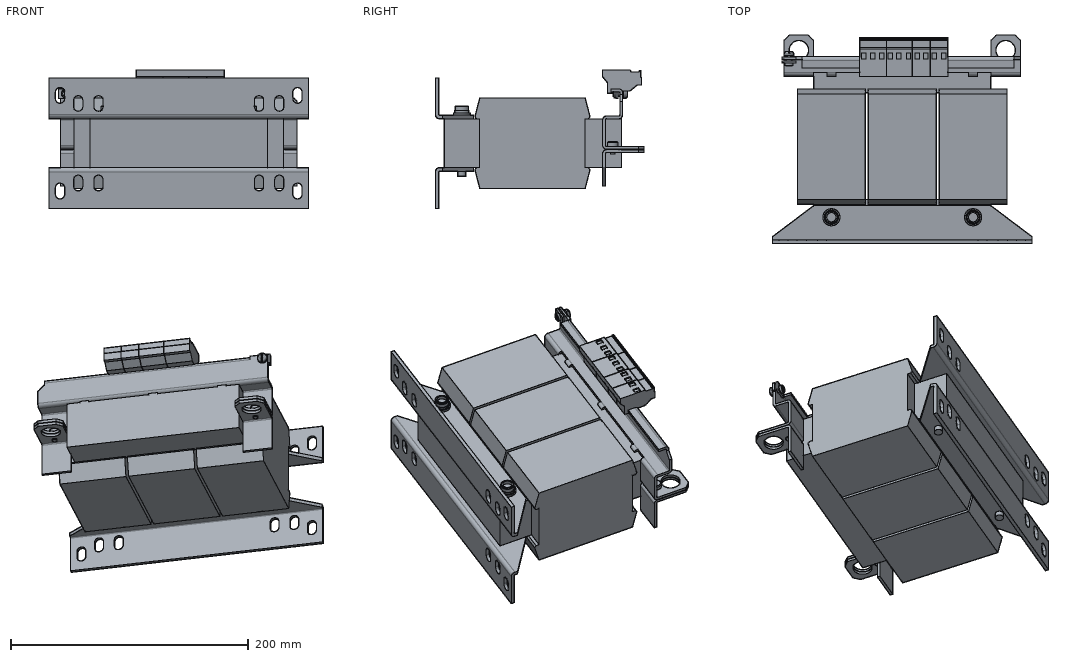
import cadquery as cq


core_length = 149.4
leg_width = core_length / 5
core_half_height = 20.5
core_front = 7.5
window_front = 37.5
window_back = 127.2
core_back = 157.0
leg_pitch = 2 * leg_width

coil_width = 57.4
coil_half_height = 38.3
coil_back = 126.4
coil_bulge = 4.2
bulge_half_height = 22.3
bulge_lip = 2.8

foot_length = 219.0
foot_half_height = 55.2
foot_sheet = 3.0
foot_bend = 3.5
foot_depth = 32.2
foot_side_depth = 6.0
slot_width = 7.7
slot_length = 13.1
outer_slot = (100.0, 40.3)
inner_slots = ((84.8, 33.5), (67.7, 33.5))

screw_y = 22.3
washer_diameter = 14.5
washer_height = 2.0
screw_collar_diameter = 12.0
screw_collar_height = 1.8
screw_head_diameter = 11.4
screw_head_height = 6.0
screw_head_chamfer = 0.7
socket_diameter = 7.9
socket_depth = 3.0
screw_shank_diameter = 7.0
screw_end_z = -28.0

rail_sheet = 2.5
rail_bend = 3.3
rail_half_length = 99.9
rail_front = 141.0
rail_back = 158.0
rail_top = 45.8
lip_left = -84.3
lip_right = 94.2
lip_front = 148.3
lip_zone = 4.4
corner_cut_z = 35.3
hook_width = 7.7
tab_joint_z = -5.3
tab_gap = 0.5
tab_back = 176.0
tab_chamfer = 4.8
eye_x = 87.2
eye_y = 163.2
eye_diameter = 16.2
lower_plate_end_z = -36.1

tab_screw_y = 149.5
tab_screw_head_diameter = 8.8
tab_screw_head_height = 4.0
tab_screw_head_chamfer = 0.9
tab_screw_diameter = 4.2
tab_screw_end_z = -9.0

earth_x = -95.5
earth_z = 41.8
clamp_length = 12.0
clamp_height = 8.3
clamp_back = (rail_back - rail_sheet, 157.5)
clamp_front = (152.5, 154.2)
earth_washer_diameter = 8.3
earth_washer_back = 158.8
earth_head_diameter = 8.0
earth_head_back = 162.0
earth_head_round = 2.0
earth_slot_width = 0.9
earth_slot_depth = 1.3
earth_nut_end = 150.5
earth_nut_diameter = 7.0
earth_shank_diameter = 4.8
earth_shank_end = 149.8

terminal_bounds = (-36.0, -13.4, 8.3, 23.7, 38.5)
terminal_joint = 0.2
terminal_top = 61.8
terminal_bottom = 42.0
terminal_outline = (
    (164.2, terminal_top), (140.8, terminal_top), (140.8, 56.0), (145.0, 51.0), (145.0, terminal_bottom),
    (149.8, terminal_bottom), (149.8, 44.0), (164.2, 44.0), (170.4, 49.0), (173.9, 49.0),
    (173.9, 55.5), (173.2, 56.0), (173.2, 61.0), (172.1, 61.0), (171.5, 60.2), (165.3, 60.2),
)
wire_entry_xs = (-32.6, -24.7, -17.3, -10.0, -2.8, 5.3, 12.5, 19.7, 27.0, 35.0)
wire_entry_width = 3.7
wire_entry_y = (155.7, 160.7)
wire_entry_depth = 1.0


def block(x_range, y_range, z_range):
    """Box given by its limits along each axis."""
    sizes = [high - low for low, high in (x_range, y_range, z_range)]
    return cq.Workplane("XY").box(*sizes, centered=False).translate((x_range[0], y_range[0], z_range[0]))


def upright_cylinder(x, y, z_range, diameter):
    low, high = z_range
    return cq.Workplane("XY", origin=(x, y, low)).circle(diameter / 2).extrude(high - low)


def round_bend(sheet, point, radius):
    """Round the outside of the sheet bend whose edge is nearest to the point."""
    return sheet.edges(cq.NearestToPointSelector(point)).fillet(radius)


def round_sheet_bend(sheet, x, corner, inward, thickness, radius):
    """Round both sides of a bend; inward gives the Y and Z signs from its outer corner."""
    y, z = corner
    inner = (x, y + inward[0] * thickness, z + inward[1] * thickness)
    return round_bend(round_bend(sheet, (x, y, z), radius), inner, radius - thickness)


def round_rail_bend(sheet, x, corner, inward):
    return round_sheet_bend(sheet, x, corner, inward, rail_sheet, rail_bend)


def mirrored_pair(body):
    return body.union(body.mirror("YZ"))


def make_core():
    half = core_length / 2
    heights = (-core_half_height, core_half_height)
    core = block((-half, half), (core_front, core_back), heights)
    for side in (-1, 1):
        window_x = side * leg_width
        window = block(
            (window_x - leg_width / 2, window_x + leg_width / 2), (window_front, window_back), heights
        )
        core = core.cut(window)
    return core


def make_coils():
    y0 = window_front
    y1 = coil_back
    upper = [
        (y0, coil_half_height),
        (y1, coil_half_height),
        (y1 + coil_bulge, bulge_half_height),
        (y1 + bulge_lip, core_half_height),
        (y1, core_half_height),
    ]
    lower = [(y, -z) for y, z in reversed(upper[1:])]
    front = [
        (y0, -coil_half_height),
        (y0 - coil_bulge, -bulge_half_height),
        (y0 - bulge_lip, -core_half_height),
        (y0, -core_half_height),
        (y0, core_half_height),
        (y0 - bulge_lip, core_half_height),
        (y0 - coil_bulge, bulge_half_height),
    ]
    coil = cq.Workplane("YZ").polyline(upper + lower + front).close().extrude(coil_width / 2, both=True)
    coils = coil
    for side in (-1, 1):
        coils = coils.union(coil.translate((side * leg_pitch, 0, 0)))
    return coils


def make_upper_foot():
    half = foot_length / 2
    flange_outline = [
        (-half, 0), (half, 0), (half, foot_side_depth), (core_length / 2, foot_depth),
        (-core_length / 2, foot_depth), (-half, foot_side_depth),
    ]
    flange = (
        cq.Workplane("XY", origin=(0, 0, core_half_height))
        .polyline(flange_outline).close().extrude(foot_sheet)
    )
    web = block((-half, half), (0, foot_sheet), (core_half_height, foot_half_height))
    foot = round_sheet_bend(flange.union(web), 0, (0, core_half_height), (1, 1), foot_sheet, foot_bend)
    right_slots = [outer_slot, *inner_slots]
    left_slots = [(-x, z) for x, z in right_slots]
    slots = (
        cq.Workplane("XZ").pushPoints(right_slots + left_slots)
        .slot2D(slot_length, slot_width, 90).extrude(-foot_sheet)
    )
    return foot.cut(slots)


def make_clamping_screw():
    seat = core_half_height + foot_sheet
    head_bottom = seat + washer_height
    head_top = head_bottom + screw_head_height
    head = upright_cylinder(leg_pitch, screw_y, (head_bottom, head_top), screw_head_diameter)
    head = head.faces(">Z").chamfer(screw_head_chamfer)
    socket = upright_cylinder(leg_pitch, screw_y, (head_top - socket_depth, head_top), socket_diameter)
    washer = upright_cylinder(leg_pitch, screw_y, (seat, head_bottom), washer_diameter)
    shank = upright_cylinder(leg_pitch, screw_y, (screw_end_z, seat), screw_shank_diameter)
    collar_z = (head_bottom, head_bottom + screw_collar_height)
    collar = upright_cylinder(leg_pitch, screw_y, collar_z, screw_collar_diameter)
    return head.union(collar).cut(socket).union(washer).union(shank)


def make_rail():
    flange_z = (core_half_height, core_half_height + rail_sheet)
    ends = (-rail_half_length, rail_half_length)
    corner_cut = rail_half_length - lip_right
    web_outline = [
        (-rail_half_length, flange_z[0]), (rail_half_length, flange_z[0]),
        (rail_half_length, corner_cut_z), (lip_right, corner_cut_z + corner_cut),
        (lip_right, rail_top), (-rail_half_length, rail_top),
    ]
    web = cq.Workplane("XZ", origin=(0, rail_back, 0)).polyline(web_outline).close().extrude(rail_sheet)
    flange = block(ends, (rail_front + rail_bend, rail_back), flange_z)
    rail = round_rail_bend(web.union(flange), 0, (rail_back, flange_z[0]), (-1, 1))

    lip_x = (lip_left, lip_right)
    lip = block(lip_x, (lip_front, rail_back), (rail_top - rail_sheet, rail_top))
    lip = lip.union(block(lip_x, (rail_back - rail_sheet, rail_back), (rail_top - lip_zone, rail_top)))
    lip = round_rail_bend(lip, (lip_left + lip_right) / 2, (rail_back, rail_top), (-1, -1))
    rail = rail.cut(block(lip_x, (lip_front, rail_back), (rail_top - lip_zone, rail_top))).union(lip)

    for x in (-leg_pitch, 0, leg_pitch):
        hook_x = (x - hook_width / 2, x + hook_width / 2)
        hook = block(hook_x, (rail_front, core_back), (flange_z[1] - 2 * rail_bend, flange_z[1]))
        rail = rail.union(round_bend(hook, (x, rail_front, flange_z[1]), rail_bend))
    return rail


def make_lifting_tab():
    """Right-hand eye: a tab hanging from the rail, stacked on the tab of a lower plate."""
    inner = core_length / 2
    width = (inner, rail_half_length)
    middle = (inner + rail_half_length) / 2
    plate_y = (rail_front, rail_front + rail_sheet)
    rail_face = core_half_height + rail_sheet
    upper_z = (tab_joint_z + tab_gap / 2, tab_joint_z + tab_gap / 2 + rail_sheet)
    lower_z = (tab_joint_z - tab_gap / 2 - rail_sheet, tab_joint_z - tab_gap / 2)
    lower_face, upper_face = lower_z[0], upper_z[1]

    upper = block(width, plate_y, (upper_z[0], rail_face))
    upper = upper.union(block(width, (rail_front, rail_back - rail_bend), (core_half_height, rail_face)))
    upper = upper.union(block(width, (rail_front, tab_back), upper_z))
    upper = round_rail_bend(upper, middle, (rail_front, rail_face), (1, -1))
    upper = round_rail_bend(upper, middle, (rail_front, upper_z[0]), (1, 1))

    lower = block(width, plate_y, (lower_plate_end_z, lower_z[1]))
    lower = lower.union(block(width, (rail_front, tab_back), lower_z))
    lower = round_rail_bend(lower, middle, (rail_front, lower_z[1]), (1, -1))

    tab = upper.union(lower)
    tab = tab.faces(">Y").edges("|Z").chamfer(tab_chamfer)
    tab = tab.cut(upright_cylinder(eye_x, eye_y, (lower_face, upper_face), eye_diameter))

    head_z = (upper_face, upper_face + tab_screw_head_height)
    head = upright_cylinder(eye_x, tab_screw_y, head_z, tab_screw_head_diameter)
    head = head.faces(">Z").chamfer(tab_screw_head_chamfer)
    shank = upright_cylinder(eye_x, tab_screw_y, (tab_screw_end_z, upper_face), tab_screw_diameter)
    return tab.union(head).union(shank)


def make_earth_screw():
    clamp_x = (earth_x - clamp_length / 2, earth_x + clamp_length / 2)
    clamp_z = (earth_z - clamp_height / 2, earth_z + clamp_height / 2)

    def turned(diameter, y_range):
        plane = cq.Workplane("XZ", origin=(earth_x, y_range[1], earth_z))
        return plane.circle(diameter / 2).extrude(y_range[1] - y_range[0])

    head = turned(earth_head_diameter, (earth_washer_back, earth_head_back))
    head = head.faces(">Y").edges().fillet(earth_head_round)
    slot_x = (earth_x - earth_slot_width / 2, earth_x + earth_slot_width / 2)
    head = head.cut(block(slot_x, (earth_head_back - earth_slot_depth, earth_head_back), clamp_z))
    washer = turned(earth_washer_diameter, (clamp_back[1], earth_washer_back))
    screw = head.union(washer).union(block(clamp_x, clamp_back, clamp_z))
    screw = screw.union(block(clamp_x, clamp_front, clamp_z))
    screw = screw.union(turned(earth_nut_diameter, (earth_nut_end, clamp_front[0])))
    return screw.union(turned(earth_shank_diameter, (earth_shank_end, clamp_back[1])))


def make_terminals():
    first = terminal_bounds[0]
    length = terminal_bounds[-1] - first
    outline = cq.Workplane("YZ", origin=(first, 0, 0)).polyline(terminal_outline).close().wire()
    inside = outline.offset2D(-terminal_joint).extrude(length)
    terminals = cq.Workplane("YZ", origin=(first, 0, 0)).polyline(terminal_outline).close().extrude(length)
    for x in terminal_bounds[1:-1]:
        joint_x = (x - terminal_joint / 2, x + terminal_joint / 2)
        joint = block(joint_x, (rail_front, tab_back), (terminal_bottom, terminal_top)).cut(inside)
        terminals = terminals.cut(joint)
    for x in wire_entry_xs:
        entry_x = (x - wire_entry_width / 2, x + wire_entry_width / 2)
        terminals = terminals.cut(
            block(entry_x, wire_entry_y, (terminal_top - wire_entry_depth, terminal_top))
        )
    return terminals


upper_foot = make_upper_foot()
result = make_core().union(make_coils())
result = result.union(upper_foot).union(upper_foot.mirror("XY"))
result = result.union(mirrored_pair(make_clamping_screw()))
result = result.union(make_rail()).union(mirrored_pair(make_lifting_tab()))
result = result.union(make_earth_screw()).union(make_terminals())